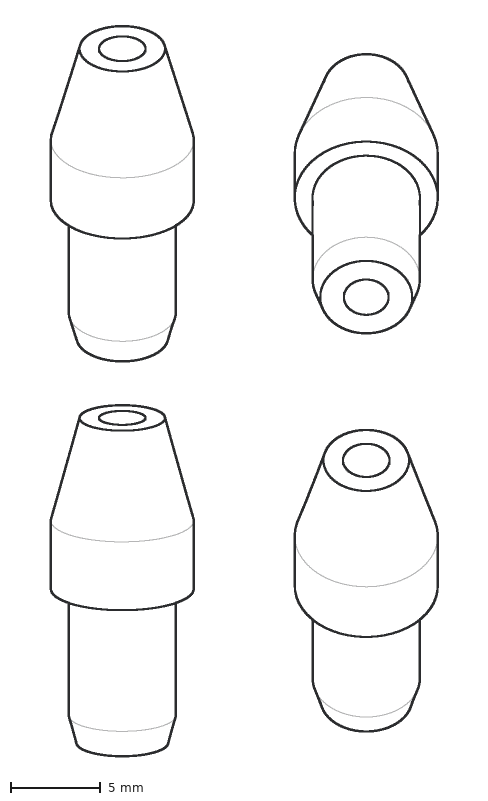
import math

import cadquery as cq

collar_diameter = 8.0
collar_height = 4.0
stem_diameter = 6.0
stem_length = 9.0
lead_in_height = 1.6
nose_height = 6.0
taper_angle = 15.0
upper_bore_diameter = 2.6
lower_bore_diameter = 2.5

collar_radius = collar_diameter / 2
stem_radius = stem_diameter / 2
taper_slope = math.tan(math.radians(taper_angle))
nose_tip_radius = collar_radius - nose_height * taper_slope
stem_tip_radius = stem_radius - lead_in_height * taper_slope

collar_bottom = stem_length
collar_top = collar_bottom + collar_height
total_height = collar_top + nose_height


def make_body():
    """Turned body: tapered stem tip, stem, collar and conical nose."""
    half_profile = [
        (0, 0),
        (stem_tip_radius, 0),
        (stem_radius, lead_in_height),
        (stem_radius, collar_bottom),
        (collar_radius, collar_bottom),
        (collar_radius, collar_top),
        (nose_tip_radius, total_height),
        (0, total_height),
    ]
    return cq.Workplane("XZ").polyline(half_profile).close().revolve(360, (0, 0), (0, 1))


def make_bore():
    """Stepped through bore: wider through the nose and collar, narrower through the stem."""
    lower_bore = cq.Workplane("XY").circle(lower_bore_diameter / 2).extrude(total_height)
    upper_bore = (
        cq.Workplane("XY")
        .workplane(offset=collar_bottom)
        .circle(upper_bore_diameter / 2)
        .extrude(total_height - collar_bottom)
    )
    return lower_bore.union(upper_bore)


result = make_body().cut(make_bore())